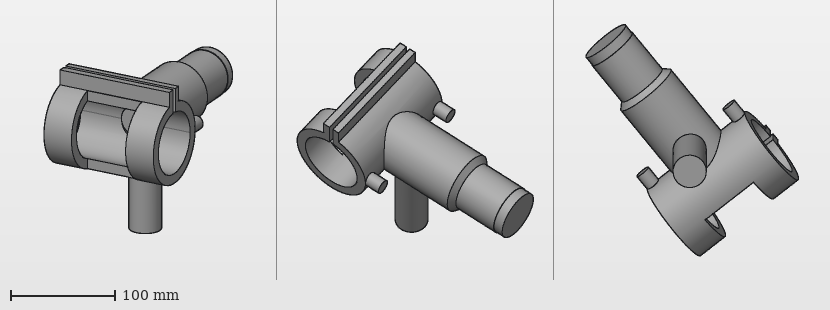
import cadquery as cq

RING_WIDTH = 120.0
RING_DIA = 83.0
BORE_DIA = 63.0
RING_RADIUS = RING_DIA / 2
BORE_RADIUS = BORE_DIA / 2

SLOT_WIDTH = 4.0
BACK_LUG_THICKNESS = 6.9
FRONT_LUG_THICKNESS = 7.5
LUG_TOP = 55.8

WINDOW_WIDTH = 59.4
WINDOW_BACK = -10.0

PEG_DIA = 14.5
PEG_END = 57.1

BARREL_DIA = 62.0
BARREL_SHOULDER = 118.3
BARREL_END = 124.3

LEG_DIA = 32.0
LEG_Y = 51.0
LEG_BOTTOM = LUG_TOP - 172.5

STEM_DIA = 30.5
STEM_START = BORE_RADIUS
SPIGOT_DIA = 50.0
TIP_DIA = 49.0
TIP_LENGTH = 10.0
SPIGOT_END = 221.5 - RING_RADIUS


def x_cylinder(diameter, length):
    """Cylinder along X, centred on the origin."""
    return cq.Workplane("YZ").circle(diameter / 2).extrude(length / 2, both=True)


def y_cylinder(diameter, start, end, x=0):
    """Cylinder along +Y between two Y positions."""
    plane = cq.Workplane("XZ", origin=(x, start, 0))
    return plane.circle(diameter / 2).extrude(start - end)


def box_between(width, y_min, y_max, z_min, z_max):
    """Box centred in X between the given Y and Z limits."""
    box = cq.Workplane().box(width, y_max - y_min, z_max - z_min)
    return box.translate((0, (y_min + y_max) / 2, (z_min + z_max) / 2))


def make_barrel():
    """Barrel whose end tapers down to the spigot diameter."""
    profile = [
        (0, 0),
        (BARREL_DIA / 2, 0),
        (BARREL_DIA / 2, BARREL_SHOULDER),
        (SPIGOT_DIA / 2, BARREL_END),
        (0, BARREL_END),
    ]
    return cq.Workplane().polyline(profile).close().revolve(360, (0, 0), (0, 1))


def make_leg():
    """Leg from the barrel axis down to the lowest point."""
    return cq.Workplane(origin=(0, LEG_Y, 0)).circle(LEG_DIA / 2).extrude(LEG_BOTTOM)


def make_housing():
    """Clamp ring with lugs, pegs, barrel and leg."""
    lug_back = SLOT_WIDTH / 2 + BACK_LUG_THICKNESS
    lug_front = -SLOT_WIDTH / 2 - FRONT_LUG_THICKNESS
    lugs = box_between(RING_WIDTH, lug_front, lug_back, 0, LUG_TOP)
    housing = x_cylinder(RING_DIA, RING_WIDTH).union(lugs)
    housing = housing.union(make_barrel()).union(make_leg())

    for side in (-1, 1):
        peg_x = side * (RING_WIDTH - PEG_DIA) / 2
        housing = housing.union(y_cylinder(PEG_DIA, 0, PEG_END, peg_x))

    slot = box_between(RING_WIDTH, -SLOT_WIDTH / 2, SLOT_WIDTH / 2, 0, LUG_TOP)
    window = box_between(WINDOW_WIDTH, -RING_RADIUS, WINDOW_BACK, -RING_RADIUS, RING_RADIUS)
    housing = housing.cut(x_cylinder(BORE_DIA, RING_WIDTH)).cut(slot).cut(window)

    stem_hole = y_cylinder(STEM_DIA, 0, BARREL_END)
    return housing.cut(stem_hole)


def make_spigot():
    """Stem, main diameter and slightly reduced tip."""
    tip_start = SPIGOT_END - TIP_LENGTH
    stem = y_cylinder(STEM_DIA, STEM_START, BARREL_END)
    shaft = y_cylinder(SPIGOT_DIA, BARREL_END, tip_start)
    tip = y_cylinder(TIP_DIA, tip_start, SPIGOT_END)
    return stem.union(shaft).union(tip)


housing = make_housing()
spigot = make_spigot()
result = cq.Compound.makeCompound([housing.val(), spigot.val()])